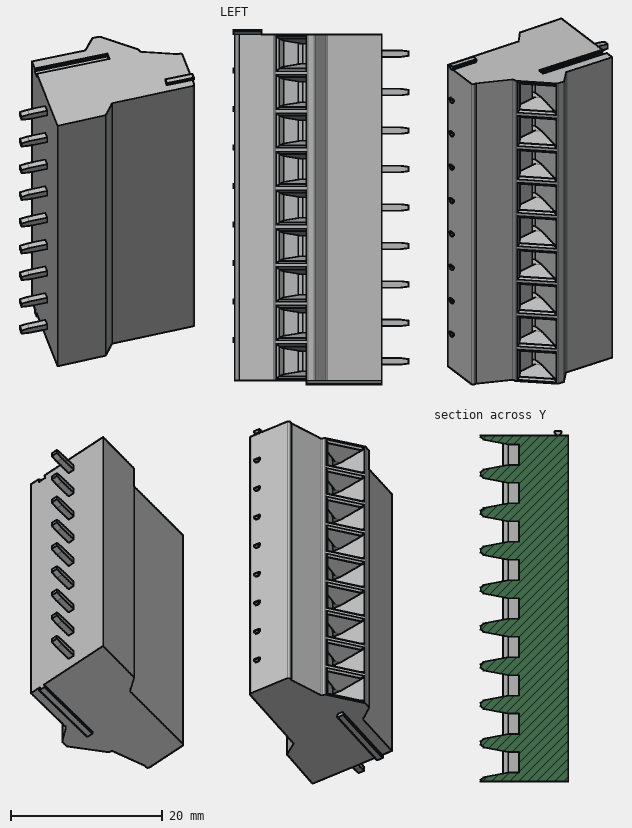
import cadquery as cq
import math

overall_height = 46.9
body_height = 45.7
pole_count = 9
pitch = body_height / pole_count
tip_x = -1.9
body_width = 14.25
wall_right_x = tip_x + body_width
body_top_y = 19.45
face_top_x, face_top_y = 1.75, 14.1
face_bottom_y = 9.85
top_corner_radius = 0.3
entry_side_radius = 0.25

face_dx = tip_x - face_top_x
face_dy = face_bottom_y - face_top_y
face_length = math.hypot(face_dx, face_dy)
down_x, down_y = face_dx / face_length, face_dy / face_length
inward_x, inward_y = -down_y, down_x

frame_width = 4.6
frame_chamfer = 0.3
frame_top_y = 13.95
frame_bottom_y = 10.0
funnel_wall_angle = 14.0
funnel_wall_depth = 1.2
funnel_reach = 5.63
slot_width = 2.65
slot_top_y = 11.05
slot_floor_x = 3.75
slot_ramp_y = 10.45
slot_ramp_start_x = 3.38

pin_size = 0.9
pin_center_x = 6.9
pin_length = 3.5
pin_tip_length = 1.05
pin_tip_thickness = 0.6
pin_root = 0.45

rib_height = (overall_height - body_height) / 2
rib_taper_height = 0.38
rib_chamfer = 0.1
lower_rib_x = 1.88
lower_rib_width = 1.05
lower_rib_neck = 0.7
lower_rib_length = 10.0
upper_rib_x = 8.9
upper_rib_width = 0.95
upper_rib_neck = 0.4
upper_rib_start_y = 15.9
rib_overhang = 0.15


def prism(points, bottom_z, height):
    return cq.Workplane("XY").workplane(offset=bottom_z).polyline(points).close().extrude(height)


def make_body():
    outline = [
        (0, 0),
        (0, 7.3),
        (tip_x, 8.85),
        (tip_x, face_bottom_y),
        (face_top_x, face_top_y),
        (2.2, 14.2),
        (4.0, 18.85),
        (4.0, body_top_y),
        (10.15, body_top_y),
        (10.3, 8.05),
        (12.2, 6.65),
        (wall_right_x, 0),
    ]
    body = prism(outline, 0, body_height).edges("|Z and >Y").fillet(top_corner_radius)
    softened_corners = outline[1:6]
    for x, y in softened_corners:
        corner = cq.selectors.NearestToPointSelector((x, y, body_height / 2))
        body = body.edges("|Z").edges(corner).fillet(entry_side_radius)
    return body


def face_point(y):
    """Point of the sloped face at height y."""
    return face_top_x + (y - face_top_y) * down_x / down_y, y


def tapered_wedge(center_z, width, depth, angle):
    """Wedge entering the sloped face along its whole length, narrowing in Z."""
    narrowing = 2 * depth * math.tan(math.radians(angle))
    plane = cq.Plane(
        origin=(face_top_x, face_top_y, center_z),
        xDir=(inward_x, inward_y, 0),
        normal=(down_x, down_y, 0),
    )
    half = width / 2
    half_end = (width - narrowing) / 2
    points = [(0, -half), (depth, -half_end), (depth, half_end), (0, half)]
    return cq.Workplane(plane).polyline(points).close().extrude(2 * face_length, both=True)


def make_wire_entry(center_z):
    frame_top = face_point(frame_top_y)
    frame_bottom = face_point(frame_bottom_y)
    inset = frame_chamfer
    frame_profile = [
        frame_top,
        (frame_top[0] + inset * (down_x + inward_x), frame_top[1] + inset * (down_y + inward_y)),
        (frame_bottom[0] + inset * (inward_x - down_x), frame_bottom[1] + inset * (inward_y - down_y)),
        frame_bottom,
    ]
    frame = tapered_wedge(center_z, frame_width, inset, 45).intersect(
        prism(frame_profile, center_z - pitch / 2, pitch))

    funnel_top = (frame_top[0] + inset * down_x, frame_top[1] + inset * down_y)
    back_top = (
        funnel_top[0] + funnel_wall_depth * inward_x,
        funnel_top[1] + funnel_wall_depth * inward_y,
    )
    funnel_profile = [funnel_top, back_top, (back_top[0], frame_bottom_y), frame_bottom]
    funnel_width = frame_width - 2 * inset
    funnel = tapered_wedge(center_z, funnel_width, funnel_reach, funnel_wall_angle).intersect(
        prism(funnel_profile, center_z - pitch / 2, pitch))

    slot_profile = [
        face_point(slot_top_y),
        (slot_floor_x, slot_top_y),
        (slot_floor_x, slot_ramp_y),
        (slot_ramp_start_x, frame_bottom_y),
        frame_bottom,
    ]
    slot = prism(slot_profile, center_z - slot_width / 2, slot_width)
    return frame.union(funnel).union(slot)


def make_pin(center_z):
    half = pin_size / 2
    half_tip = pin_tip_thickness / 2
    taper_y = pin_tip_length - pin_length
    points = [
        (pin_root, -half), (taper_y, -half), (-pin_length, -half_tip),
        (-pin_length, half_tip), (taper_y, half), (pin_root, half),
    ]
    plane = cq.Plane(origin=(pin_center_x, 0, center_z), xDir=(0, 1, 0), normal=(1, 0, 0))
    return cq.Workplane(plane).polyline(points).close().extrude(half, both=True)


def extrude_along_y(points, center_x, base_z, start_y, end_y):
    plane = cq.Plane(origin=(center_x, end_y, base_z), xDir=(1, 0, 0), normal=(0, -1, 0))
    return cq.Workplane(plane).polyline(points).close().extrude(end_y - start_y)


def make_rib(center_x, base_z, direction, width, neck, start_y, end_y):
    """Dovetail bar along Y with a chamfered tip; direction is 1 for up, -1 for down."""
    half = width / 2
    half_neck = neck / 2
    half_tip = half - rib_chamfer
    taper_z = direction * rib_taper_height
    chamfer_z = direction * (rib_height - rib_chamfer)
    tip_z = direction * rib_height
    points = [
        (-half_neck, 0), (-half, taper_z), (-half, chamfer_z), (-half_tip, tip_z),
        (half_tip, tip_z), (half, chamfer_z), (half, taper_z), (half_neck, 0),
    ]
    return extrude_along_y(points, center_x, base_z, start_y, end_y)


def make_groove():
    """Dovetail slot in the upper end, with a chamfered mouth, that takes a lower rib."""
    half = lower_rib_width / 2
    half_neck = half - rib_chamfer
    points = [
        (-half, 0), (-half_neck, -rib_chamfer), (-half, -rib_taper_height), (-half, -rib_height),
        (half, -rib_height), (half, -rib_taper_height), (half_neck, -rib_chamfer), (half, 0),
    ]
    return extrude_along_y(points, lower_rib_x, body_height, 0, lower_rib_length)


result = make_body().cut(make_groove())
result = result.union(make_rib(
    lower_rib_x, 0, -1, lower_rib_width, lower_rib_neck, 0, lower_rib_length))

for pole in range(pole_count):
    center_z = (pole + 0.5) * pitch
    result = result.cut(make_wire_entry(center_z))
    result = result.union(make_pin(center_z))
    result = result.union(make_rib(
        upper_rib_x, (pole + 1) * pitch, 1, upper_rib_width, upper_rib_neck,
        upper_rib_start_y, body_top_y + rib_overhang))